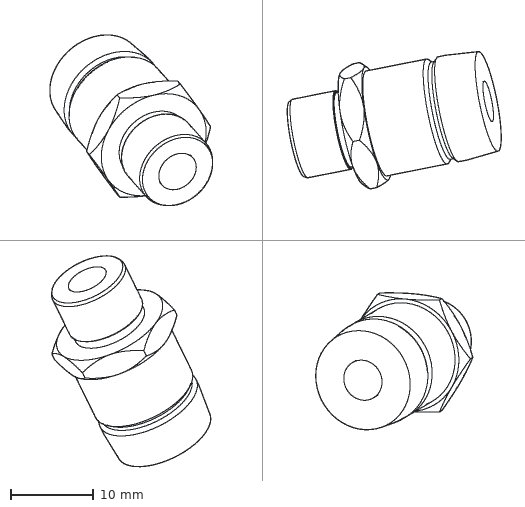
import cadquery as cq
import math

length = 24.0
bore_radius = 2.5

body_radius = 6.5
nose_radius = 6.17
nose_length = 4.0

groove_start = 5.0
groove_floor_width = 0.48
groove_radius = 6.02
groove_flank = body_radius - groove_radius
groove_floor_start = groove_start + groove_flank
groove_floor_end = groove_floor_start + groove_floor_width
groove_end = groove_floor_end + groove_flank

hex_start = 14.02
hex_width = 2.98
hex_across_flats = 14.0
hex_end = hex_start + hex_width
hex_inner_radius = hex_across_flats / 2
hex_corner_radius = hex_inner_radius / math.cos(math.pi / 6)
hex_chamfer = hex_corner_radius - hex_inner_radius

neck_radius = 4.6
spigot_start = 18.12
spigot_radius = 4.87
spigot_back_chamfer = 0.1
spigot_end_chamfer_length = 0.4
spigot_end_radius = 4.68


def revolve_about_x(profile):
    """Turn an (X, radius) profile around the X axis."""
    return profile.close().revolve(360, (0, 0, 0), (1, 0, 0))


def turned_body():
    """Stepped round body: tapered nose, groove, relief neck and spigot."""
    profile = (
        cq.Workplane("XY")
        .lineTo(0, nose_radius)
        .lineTo(nose_length, body_radius)
        .lineTo(groove_start, body_radius)
        .lineTo(groove_floor_start, groove_radius)
        .lineTo(groove_floor_end, groove_radius)
        .lineTo(groove_end, body_radius)
        .lineTo(hex_start, body_radius)
        .lineTo(hex_start, neck_radius)
        .lineTo(spigot_start, neck_radius)
        .lineTo(spigot_start, spigot_radius - spigot_back_chamfer)
        .lineTo(spigot_start + spigot_back_chamfer, spigot_radius)
        .lineTo(length - spigot_end_chamfer_length, spigot_radius)
        .lineTo(length, spigot_end_radius)
        .lineTo(length, 0)
    )
    return revolve_about_x(profile)


def hex_collar():
    """Hexagonal prism whose corners are turned off at 45 degrees on both faces."""
    prism = (
        cq.Workplane("YZ", origin=(hex_start, 0, 0))
        .polygon(6, 2 * hex_corner_radius)
        .extrude(hex_width)
    )
    turned_envelope = revolve_about_x(
        cq.Workplane("XY")
        .moveTo(hex_start, 0)
        .lineTo(hex_start, hex_inner_radius)
        .lineTo(hex_start + hex_chamfer, hex_corner_radius)
        .lineTo(hex_end - hex_chamfer, hex_corner_radius)
        .lineTo(hex_end, hex_inner_radius)
        .lineTo(hex_end, 0)
    )
    return prism.intersect(turned_envelope)


bore = cq.Workplane("YZ").circle(bore_radius).extrude(length)

result = turned_body().union(hex_collar()).cut(bore)